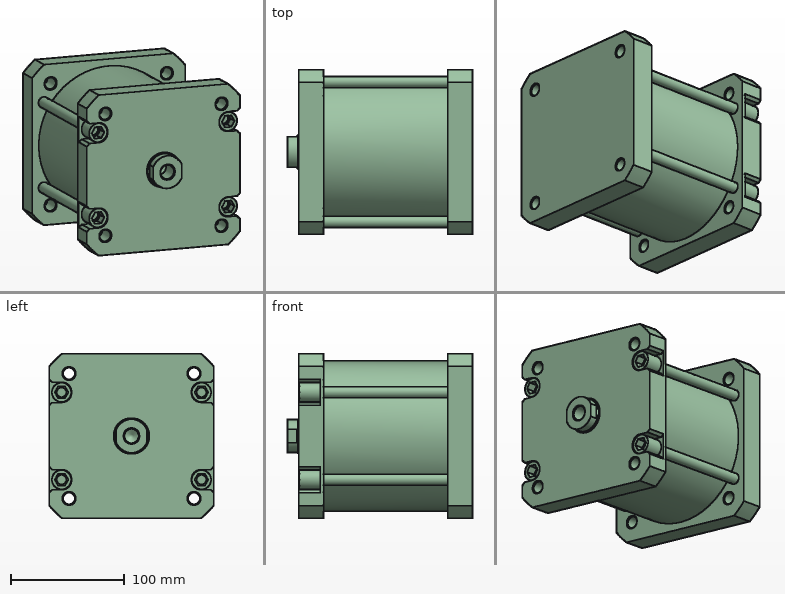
import cadquery as cq
import math


rod_protrusion = 10.0
plate_thickness = 22.0
barrel_length = 109.0
front_plate_start = rod_protrusion
barrel_start = front_plate_start + plate_thickness
rear_plate_start = barrel_start + barrel_length

plate_size = 145.0
plate_corner_diameter = 189.9
mount_hole_spacing = 110.0
mount_hole_diameter = 10.3
mount_hole_chamfer = 0.8

barrel_diameter = 132.7

rod_diameter = 30.0
tip_diameter = 29.5
tip_length = 9.0
rod_across_flats = 27.0
flat_length = 8.0
rod_hole_diameter = 12.5
rod_hole_chamfer = 0.8
rod_hole_depth = 19.5
drill_point_angle = 118.0
bore_chamfer = 0.8

bolt_offset_y = 61.6
bolt_offset_z = 38.5
shank_diameter = 10.0
head_diameter = 17.0
head_recess = 0.7
thread_engagement = 16.3
hex_across_flats = 10.3
hex_depth = 9.8
hex_relief_diameter = 8.5
hex_relief_depth = 1.6

slot_width = 18.0
slot_depth = 18.9
slot_mouth_chamfer = 2.6

mount_hole_points = [
    (side_y * mount_hole_spacing / 2, side_z * mount_hole_spacing / 2)
    for side_y in (-1, 1)
    for side_z in (-1, 1)
]
bolt_sides = [(side_y, side_z) for side_y in (-1, 1) for side_z in (-1, 1)]
bolt_points = [(side_y * bolt_offset_y, side_z * bolt_offset_z) for side_y, side_z in bolt_sides]


def section_at(x):
    """Workplane at the given X, with local axes (Y, Z) and extrusion toward +X."""
    return cq.Workplane("YZ", origin=(x, 0, 0))


def drill_hole(x, diameter, depth, chamfer):
    """Round cutter from x to x + depth with a 45 degree countersink at its start."""
    radius = diameter / 2
    profile = [
        (x, 0),
        (x, radius + chamfer),
        (x + chamfer, radius),
        (x + depth, radius),
        (x + depth, 0),
    ]
    return cq.Workplane("XY").polyline(profile).close().revolve(360, (0, 0, 0), (1, 0, 0))


def make_plate(start):
    """End plate with turned corners and four mounting holes, countersunk at both ends."""
    plate = section_at(start).rect(plate_size, plate_size).extrude(plate_thickness)
    turned = section_at(start).circle(plate_corner_diameter / 2).extrude(plate_thickness)
    plate = plate.intersect(turned)
    middle = start + plate_thickness / 2
    near_half = drill_hole(start, mount_hole_diameter, plate_thickness / 2, mount_hole_chamfer)
    far_half = near_half.mirror("YZ", (middle, 0, 0))
    for y, z in mount_hole_points:
        plate = plate.cut(near_half.translate((0, y, z)))
        plate = plate.cut(far_half.translate((0, y, z)))
    return plate


def make_head_slot(side_y, side_z):
    """Round-ended slot for one bolt head, with a chamfered mouth at the plate side."""
    half_width = slot_width / 2
    side = plate_size / 2
    mouth_start = side - slot_mouth_chamfer
    mouth_half_width = half_width + slot_mouth_chamfer
    slot = (
        section_at(front_plate_start)
        .moveTo(mouth_start, bolt_offset_z + half_width)
        .lineTo(bolt_offset_y, bolt_offset_z + half_width)
        .threePointArc(
            (bolt_offset_y - half_width, bolt_offset_z),
            (bolt_offset_y, bolt_offset_z - half_width),
        )
        .lineTo(mouth_start, bolt_offset_z - half_width)
        .lineTo(side, bolt_offset_z - mouth_half_width)
        .lineTo(side, bolt_offset_z + mouth_half_width)
        .close()
        .extrude(slot_depth)
    )
    if side_y < 0:
        slot = slot.mirror("XZ")
    if side_z < 0:
        slot = slot.mirror("XY")
    return slot


def make_front_plate():
    plate = make_plate(front_plate_start)
    plate = plate.cut(drill_hole(front_plate_start, rod_diameter, plate_thickness, bore_chamfer))
    for side_y, side_z in bolt_sides:
        plate = plate.cut(make_head_slot(side_y, side_z))
    shank_holes = (
        section_at(front_plate_start)
        .pushPoints(bolt_points)
        .circle(shank_diameter / 2)
        .extrude(plate_thickness)
    )
    return plate.cut(shank_holes)


def make_rear_plate():
    plate = make_plate(rear_plate_start)
    thread_holes = (
        section_at(rear_plate_start)
        .pushPoints(bolt_points)
        .circle(shank_diameter / 2)
        .extrude(thread_engagement)
    )
    return plate.cut(thread_holes)


def make_barrel():
    return section_at(barrel_start).circle(barrel_diameter / 2).extrude(barrel_length)


def make_rod():
    """Rod from its tip to the barrel, with two wrench flats and a blind hole in the tip."""
    tip_radius = tip_diameter / 2
    rod_radius = rod_diameter / 2
    profile = [
        (0, 0),
        (0, tip_radius),
        (tip_length, tip_radius),
        (tip_length + rod_radius - tip_radius, rod_radius),
        (barrel_start, rod_radius),
        (barrel_start, 0),
    ]
    rod = cq.Workplane("XY").polyline(profile).close().revolve(360, (0, 0, 0), (1, 0, 0))

    flat_y = rod_across_flats / 2
    flat_cut = (
        cq.Workplane("XY")
        .polyline([
            (0, flat_y),
            (flat_length, flat_y),
            (flat_length + rod_radius - flat_y, rod_radius),
            (0, rod_radius),
        ])
        .close()
        .extrude(rod_radius, both=True)
    )
    rod = rod.cut(flat_cut).cut(flat_cut.mirror("XZ"))

    rod = rod.cut(drill_hole(0, rod_hole_diameter, rod_hole_depth, rod_hole_chamfer))
    point_radius = rod_hole_diameter / 2
    point_length = point_radius / math.tan(math.radians(drill_point_angle / 2))
    drill_point = (
        cq.Workplane("XY")
        .polyline([
            (rod_hole_depth, 0),
            (rod_hole_depth, point_radius),
            (rod_hole_depth + point_length, 0),
        ])
        .close()
        .revolve(360, (0, 0, 0), (1, 0, 0))
    )
    return rod.cut(drill_point)


def make_tie_bolt(y, z):
    """Socket head bolt from its slot in the front plate to the thread in the rear plate."""
    head_start = front_plate_start + head_recess
    head_end = front_plate_start + slot_depth
    shank_end = rear_plate_start + thread_engagement
    hex_across_corners = hex_across_flats / math.cos(math.pi / 6)
    head = section_at(head_start).circle(head_diameter / 2).extrude(head_end - head_start)
    shank = section_at(head_end).circle(shank_diameter / 2).extrude(shank_end - head_end)
    socket = section_at(head_start).polygon(6, hex_across_corners).extrude(hex_depth)
    relief = (
        section_at(head_start + hex_depth)
        .circle(hex_relief_diameter / 2)
        .extrude(hex_relief_depth)
    )
    return head.union(shank).cut(socket).cut(relief).translate((0, y, z))


front_plate = make_front_plate()
rear_plate = make_rear_plate()
barrel = make_barrel()
rod = make_rod()
tie_bolts = [make_tie_bolt(y, z) for y, z in bolt_points]

result = cq.Compound.makeCompound([
    front_plate.val(),
    rear_plate.val(),
    barrel.val(),
    rod.val(),
    *[bolt.val() for bolt in tie_bolts],
])